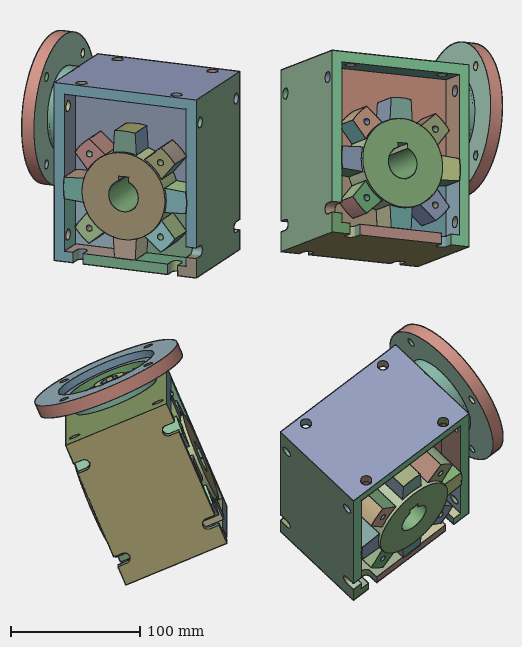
import cadquery as cq
import math

BOX_X = 120.0
BOX_Y = 85.0
BOX_Z = 144.0
WALL = 8.5
RECESS_DEPTH = 22.1

FLANGE_DIA = 120.0
FLANGE_THICK = 10.5
NECK_DIA = 68.0
NECK_LENGTH = 9.5
FLANGE_HOLE_DIA = 7.0
FLANGE_HOLE_CIRCLE_DIA = 100.0
PILOT_DIA = 80.0
PILOT_DEPTH = 6.0
COUNTERBORE_DIA = 66.0
COUNTERBORE_DEPTH = 11.9
INPUT_BOSS_DIA = 25.0
INPUT_BOSS_SETBACK = 6.0
INPUT_BORE_DIA = 14.0
INPUT_BORE_DEPTH = 34.0
INPUT_KEY_WIDTH = 5.5
INPUT_KEY_REACH = 9.0

HUB_DIA = 70.0
HUB_FACE = 45.9
OUTPUT_BORE_DIA = 25.0
OUTPUT_KEY_WIDTH = 8.5
OUTPUT_KEY_REACH = 15.8

SPOKE_OUTER_RADIUS = 52.0
SPOKE_FACE = 43.4
RIB_END_WIDTH = 17.3
RIB_DRAFT = 3.5
PAD_END_WIDTH = 17.0
PAD_DRAFT = 5.2
PAD_HOLE_CIRCLE_DIA = 85.0
PAD_HOLE_DIA = 5.0
PAD_HOLE_DEPTH = 10.2
DRILL_POINT_ANGLE = 118.0

MOUNT_DIA = 8.5
MOUNT_SPAN_X = 80.0
MOUNT_SPAN_Y = 70.0
MOUNT_EDGE_Z = 20.0

BOX_LEFT = FLANGE_THICK + NECK_LENGTH
CENTER_X = BOX_LEFT + BOX_X / 2
BOX_RIGHT = BOX_LEFT + BOX_X
OUTPUT_Z = BOX_X / 2
INPUT_Z = BOX_Z - NECK_DIA / 2
SIDES = (-1, 1)


def cylinder_x(diameter, x_start, x_end):
    """Cylinder on the input axis between two X positions."""
    plane = cq.Workplane("YZ", origin=(x_start, 0, INPUT_Z))
    return plane.circle(diameter / 2).extrude(x_end - x_start)


def cylinder_y(diameter, y_start, y_end):
    """Cylinder on the output axis between two Y positions."""
    plane = cq.Workplane("XZ", origin=(CENTER_X, y_start, OUTPUT_Z))
    return plane.circle(diameter / 2).extrude(y_start - y_end)


def block(size_x, size_y, size_z, center):
    return cq.Workplane("XY").box(size_x, size_y, size_z).translate(center)


def housing():
    body = block(BOX_X, BOX_Y, BOX_Z, (CENTER_X, 0, BOX_Z / 2))
    for side in SIDES:
        recess_center = (CENTER_X, side * (BOX_Y - RECESS_DEPTH) / 2, BOX_Z / 2)
        body = body.cut(block(BOX_X - 2 * WALL, RECESS_DEPTH, BOX_Z - 2 * WALL, recess_center))
    return body


def mounting_cuts():
    """Vertical and lengthwise holes; those at the bottom and lower right open out as slots."""
    reach_y = (BOX_Y - MOUNT_SPAN_Y) / 2
    cuts = cq.Workplane("XY")
    for side in SIDES:
        hole_y = side * MOUNT_SPAN_Y / 2
        slot_y = hole_y + side * reach_y / 2
        for x in (CENTER_X - MOUNT_SPAN_X / 2, CENTER_X + MOUNT_SPAN_X / 2):
            hole = cq.Workplane("XY", origin=(x, hole_y, 0)).circle(MOUNT_DIA / 2).extrude(BOX_Z)
            cuts = cuts.add(hole).add(block(MOUNT_DIA, reach_y, WALL, (x, slot_y, WALL / 2)))
        for z in (MOUNT_EDGE_Z, BOX_Z - MOUNT_EDGE_Z):
            hole = cq.Workplane("YZ", origin=(BOX_LEFT, hole_y, z)).circle(MOUNT_DIA / 2).extrude(BOX_X)
            cuts = cuts.add(hole)
        slot_center = (BOX_RIGHT - WALL / 2, slot_y, MOUNT_EDGE_Z)
        cuts = cuts.add(block(WALL, reach_y, MOUNT_DIA, slot_center))
    return cuts.combine()


def spoke(end_width, draft, angle):
    """Spoke through both recesses: wider toward the hub, with a rounded outer end."""
    inner_width = end_width + 2 * SPOKE_OUTER_RADIUS * math.tan(math.radians(draft))
    outline = [
        (0, -inner_width / 2),
        (SPOKE_OUTER_RADIUS, -end_width / 2),
        (SPOKE_OUTER_RADIUS, end_width / 2),
        (0, inner_width / 2),
    ]
    bar = cq.Workplane("XZ").polyline(outline).close().extrude(SPOKE_FACE, both=True)
    bar = bar.rotate((0, 0, 0), (0, 1, 0), angle).translate((CENTER_X, 0, OUTPUT_Z))
    return bar.intersect(cylinder_y(2 * SPOKE_OUTER_RADIUS, -SPOKE_FACE, SPOKE_FACE))


def output_hub():
    hub = cylinder_y(HUB_DIA, -HUB_FACE, HUB_FACE)
    for quarter in range(4):
        hub = hub.union(spoke(RIB_END_WIDTH, RIB_DRAFT, 90 * quarter))
        hub = hub.union(spoke(PAD_END_WIDTH, PAD_DRAFT, 90 * quarter + 45))
    below_floor = block(BOX_X, 2 * HUB_FACE, WALL, (CENTER_X, 0, WALL / 2))
    return hub.cut(below_floor)


def output_bore():
    bore = cylinder_y(OUTPUT_BORE_DIA, -HUB_FACE, HUB_FACE)
    key_center = (CENTER_X, 0, OUTPUT_Z + OUTPUT_KEY_REACH / 2)
    return bore.union(block(OUTPUT_KEY_WIDTH, 2 * HUB_FACE, OUTPUT_KEY_REACH, key_center))


def pad_holes():
    """Blind holes with conical bottoms, one in each pad face."""
    radius = PAD_HOLE_DIA / 2
    tip = radius / math.tan(math.radians(DRILL_POINT_ANGLE / 2))
    profile = [(0, 0), (radius, 0), (radius, PAD_HOLE_DEPTH), (0, PAD_HOLE_DEPTH + tip)]
    drill = cq.Workplane("XY").polyline(profile).close().revolve(360, (0, 0, 0), (0, 1, 0))
    offset = PAD_HOLE_CIRCLE_DIA / 2 / math.sqrt(2)
    front = cq.Workplane("XY")
    for x in SIDES:
        for z in SIDES:
            front = front.add(drill.translate((CENTER_X + x * offset, -SPOKE_FACE, OUTPUT_Z + z * offset)))
    front = front.combine()
    return front.union(front.mirror("XZ"))


def input_flange():
    flange = cylinder_x(FLANGE_DIA, 0, FLANGE_THICK)
    holes = (
        cq.Workplane("YZ", origin=(0, 0, INPUT_Z))
        .polarArray(FLANGE_HOLE_CIRCLE_DIA / 2, 45, 360, 4)
        .circle(FLANGE_HOLE_DIA / 2)
        .extrude(FLANGE_THICK)
    )
    return flange.cut(holes).union(cylinder_x(NECK_DIA, FLANGE_THICK, BOX_LEFT))


def input_socket():
    """Stepped recess around the input boss, with the keyed blind bore inside the boss."""
    socket = cylinder_x(PILOT_DIA, 0, PILOT_DEPTH)
    socket = socket.union(cylinder_x(COUNTERBORE_DIA, 0, COUNTERBORE_DEPTH))
    socket = socket.cut(cylinder_x(INPUT_BOSS_DIA, INPUT_BOSS_SETBACK, COUNTERBORE_DEPTH))
    bore = cylinder_x(INPUT_BORE_DIA, INPUT_BOSS_SETBACK, INPUT_BORE_DEPTH)
    key_length = INPUT_BORE_DEPTH - INPUT_BOSS_SETBACK
    key_center = (INPUT_BORE_DEPTH - key_length / 2, 0, INPUT_Z + INPUT_KEY_REACH / 2)
    key = block(key_length, INPUT_KEY_WIDTH, INPUT_KEY_REACH, key_center)
    return socket.union(bore).union(key)


result = (
    housing()
    .cut(mounting_cuts())
    .union(output_hub())
    .cut(output_bore())
    .cut(pad_holes())
    .union(input_flange())
    .cut(input_socket())
)